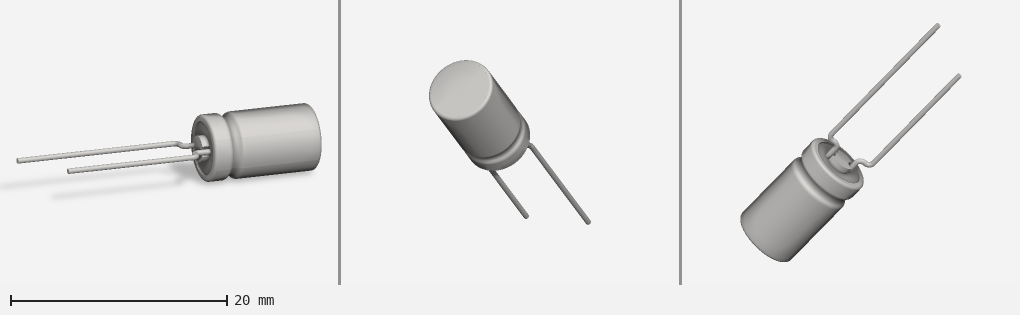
import cadquery as cq
import math

total_length = 28.2
long_lead_reach = 17.5
short_lead_reach = 14.5
body_length = total_length - long_lead_reach

sleeve_diameter = 6.3
sleeve_radius = sleeve_diameter / 2
sleeve_thickness = 0.28
stripe_width = 3.0

groove_center = 2.25
groove_half_width = 0.75
groove_depth = 0.37
groove_valley_half_width = 0.42
groove_angle = 2 * math.atan(groove_depth / groove_half_width)
valley_radius = groove_valley_half_width / math.sin(groove_angle)
shoulder_radius = (groove_half_width - groove_valley_half_width) / math.sin(groove_angle)

plug_radius = 2.55
plug_recess = 0.2
plug_thickness = 1.0
boss_radius = 1.25
boss_reach = 0.5
notch_radius = 0.5

lead_diameter = 0.5
inner_lead_offset = 1.25
outer_lead_offset = 2.5
bend_start = 1.0
bend_radius = 0.5


def polar(center, radius, angle):
    return (center[0] + radius * math.cos(angle), center[1] + radius * math.sin(angle))


def grooved_outline(inset):
    """Closed (radius, Y) half section of the grooved body, inset from the sleeve surface."""
    outer = sleeve_radius - inset
    valley = valley_radius + inset
    shoulder = shoulder_radius - inset
    valley_center = (sleeve_radius - groove_depth + valley_radius, groove_center)
    front_center = (sleeve_radius - shoulder_radius, groove_center - groove_half_width)
    back_center = (sleeve_radius - shoulder_radius, groove_center + groove_half_width)
    return (
        cq.Workplane("XY")
        .lineTo(outer, 0)
        .lineTo(outer, front_center[1])
        .threePointArc(polar(front_center, shoulder, groove_angle / 2),
                       polar(front_center, shoulder, groove_angle))
        .threePointArc(polar(valley_center, valley, math.pi),
                       polar(valley_center, valley, math.pi - groove_angle))
        .threePointArc(polar(back_center, shoulder, -groove_angle / 2),
                       (outer, back_center[1]))
        .lineTo(outer, body_length)
        .lineTo(0, body_length)
        .close()
    )


def revolved_body(inset):
    return grooved_outline(inset).revolve(360, (0, 0, 0), (0, 1, 0))


def cylinder(radius, y_start, y_end, x=0):
    """Cylinder parallel to Y between two Y positions."""
    return (
        cq.Workplane("XZ", origin=(x, y_start, 0))
        .circle(radius)
        .extrude(y_start - y_end)
    )


def make_wrap():
    """Complete sleeve, including the stretch taken by the polarity stripe."""
    blank = revolved_body(0).faces("<Y or >Y").edges().fillet(sleeve_thickness)
    return blank.cut(revolved_body(sleeve_thickness))


def make_stripe_zone():
    """Box over the +X side that bounds the polarity stripe."""
    return cq.Workplane("XY").box(
        sleeve_radius, body_length, stripe_width, centered=(False, False, True)
    )


def make_can():
    plug_pocket = cylinder(plug_radius, 0, plug_recess + plug_thickness)
    return revolved_body(sleeve_thickness).cut(plug_pocket)


def make_plug():
    """Rubber plug with a stand-off boss that is notched around each lead."""
    disc = cylinder(plug_radius, plug_recess, plug_recess + plug_thickness)
    boss = cylinder(boss_radius, -boss_reach, plug_recess)
    for side in (-1, 1):
        boss = boss.cut(cylinder(notch_radius, -boss_reach, plug_recess, side * inner_lead_offset))
    return disc.union(boss)


def make_lead(side, reach):
    """Round wire that steps outward through two bends; side is -1 or +1 along X."""
    inner = side * inner_lead_offset
    outer = side * outer_lead_offset
    step_y = -bend_start - bend_radius
    bend_end = step_y - bend_radius
    bend = side * bend_radius
    diagonal = math.sqrt(0.5)
    path = (
        cq.Workplane("XY")
        .moveTo(inner, plug_recess)
        .lineTo(inner, -bend_start)
        .threePointArc((inner + bend * (1 - diagonal), -bend_start - bend_radius * diagonal),
                       (inner + bend, step_y))
        .lineTo(outer - bend, step_y)
        .threePointArc((outer - bend * (1 - diagonal), bend_end + bend_radius * diagonal),
                       (outer, bend_end))
        .lineTo(outer, -reach)
    )
    section = cq.Workplane("XZ", origin=(inner, plug_recess, 0)).circle(lead_diameter / 2)
    return section.sweep(path)


wrap = make_wrap()
stripe_zone = make_stripe_zone()
sleeve = wrap.cut(stripe_zone)
stripe = wrap.intersect(stripe_zone)
can = make_can()
plug = make_plug()
leads = [make_lead(side, reach) for side, reach in ((-1, long_lead_reach), (1, short_lead_reach))]

result = cq.Compound.makeCompound(
    [sleeve.val(), stripe.val(), can.val(), plug.val(), *[lead.val() for lead in leads]]
)